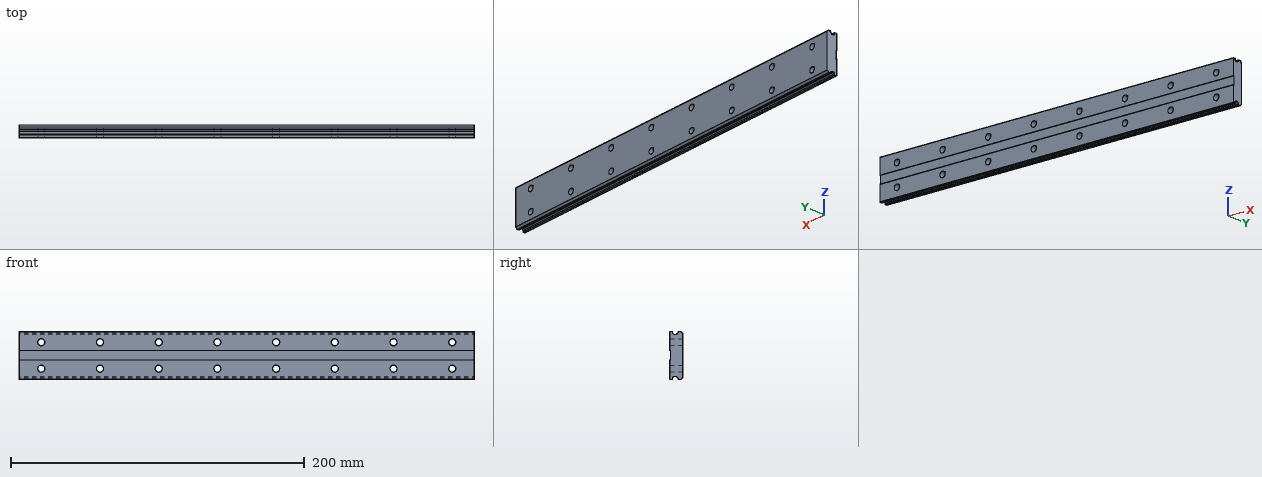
import cadquery as cq

length = 310.0
thickness = 9.0
height = 33.0

front_lip = 2.0
slot_width = 3.7
slot_depth = 2.05
slot_front_bevel = 0.87
slot_back_bevel = 1.2

lip_chamfer = 0.3
back_outer_chamfer = 1.43

groove_width = 6.5
groove_depth = 0.53

hole_diameter = 4.5
hole_count = 8
hole_pitch = 40.0
row_count = 2
row_spacing = 18.0


def end_profile():
    """(Y, Z) points of the upper half of the end face, from front to back."""
    front = -thickness / 2
    back = thickness / 2
    top = height / 2
    slot_front = front + front_lip
    slot_back = slot_front + slot_width
    slot_floor = top - slot_depth
    groove_floor = front + groove_depth
    groove_top = groove_width / 2
    return [
        (groove_floor, 0),
        (groove_floor, groove_top),
        (front, groove_top),
        (front, top - lip_chamfer),
        (front + lip_chamfer, top),
        (slot_front, top),
        (slot_front, slot_floor + slot_front_bevel),
        (slot_front + slot_front_bevel, slot_floor),
        (slot_back - slot_back_bevel, slot_floor),
        (slot_back, slot_floor + slot_back_bevel),
        (slot_back, top - lip_chamfer),
        (slot_back + lip_chamfer, top),
        (back - back_outer_chamfer, top),
        (back, top - back_outer_chamfer),
        (back, 0),
    ]


def rail_body():
    """Mirror the half profile about the mid height and extrude it along X."""
    return (
        cq.Workplane("YZ", origin=(-length / 2, 0, 0))
        .polyline(end_profile())
        .mirrorX()
        .extrude(length)
    )


def mounting_holes():
    """Cylinders through the full thickness, centred on the rail."""
    return (
        cq.Workplane("XZ")
        .rarray(hole_pitch, row_spacing, hole_count, row_count)
        .circle(hole_diameter / 2)
        .extrude(thickness, both=True)
    )


result = rail_body().cut(mounting_holes())